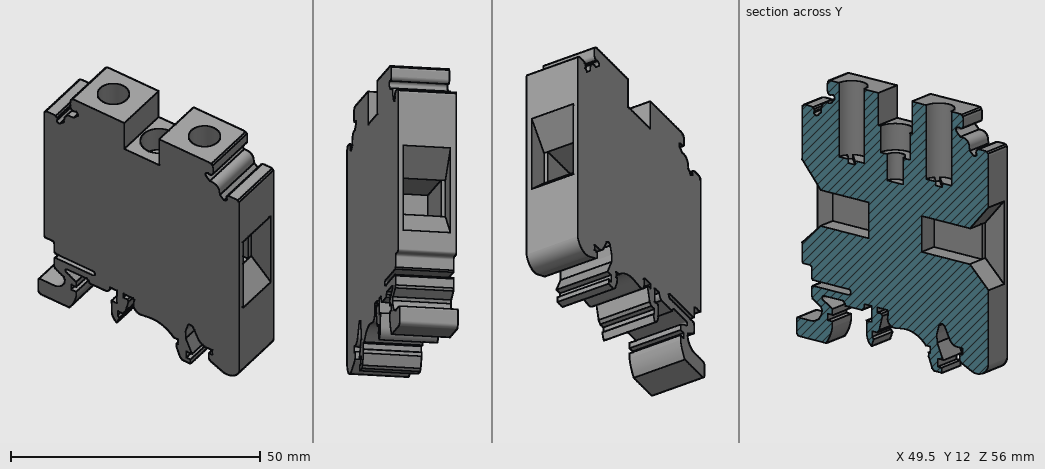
import cadquery as cq
import math


total_height = 56.0
thickness = 12.0
housing_left = 1.45
housing_right = 49.5
housing_bottom = 10.35
mid_x = (housing_left + housing_right) / 2

undercut_x = 3.9
undercut_top = 15.7
undercut_round = 0.5

slot_bottom = 11.55
slot_width = 1.1
slot_end = 14.0
slot_lip_round = 0.35

channel_width = 8.55
channel_floor = 49.1

screw_spacing = 22.4
screw_well_diameter = 6.4
screw_head_top = 40.3
screw_slot_width = 1.1
screw_slot_depth = 0.85
screw_slot_angle = -45
bridge_well_diameter = 7.5
bridge_well_depth = 5.6
bridge_hole_diameter = 4.0
bridge_hole_depth = 11.2

funnel_depth = 4.8
funnel_mouth_bottom = 20.1
funnel_mouth_top = 37.7
funnel_right_y = -4.75
funnel_left_y = 4.9
pocket_bottom = 24.65
pocket_top = 32.15
pocket_width = 7.7
pocket_depth = 12.3

foot_top = 4.05
foot_toe_round = 0.55
foot_base_round = 0.9


def plate(start, steps):
    """Full-thickness plate; a step is an end point, or a pair (through point, end point) for an arc."""
    outline = cq.Workplane("XZ").moveTo(*start)
    for first, second in steps:
        if isinstance(first, tuple):
            outline = outline.threePointArc(first, second)
        else:
            outline = outline.lineTo(first, second)
    return outline.close().extrude(thickness / 2, both=True)


def box(x_range, y_range, z_range):
    """Box spanning the given coordinate ranges."""
    corner = (x_range[0], y_range[0], z_range[0])
    return cq.Workplane("XY").box(
        x_range[1] - x_range[0],
        y_range[1] - y_range[0],
        z_range[1] - z_range[0],
        centered=False,
    ).translate(corner)


def mirrored(shape):
    """Copy of a shape on the other side of the housing's middle."""
    return shape.mirror("YZ", (mid_x, 0, 0))


def well(x, diameter, bottom):
    """Upright round cutter from the given bottom to the top of the part."""
    return (
        cq.Workplane("XY", origin=(x, 0, bottom))
        .circle(diameter / 2)
        .extrude(total_height - bottom)
    )


def shoulder_cutter():
    """Space outside the stepped left shoulder, with faceted corners and two latching grooves."""
    return plate(
        (housing_left, total_height),
        [
            (housing_left, 48.6),
            (1.55, 49.05),
            (1.9, 49.4),
            (2.35, 49.5),
            (3.85, 49.5),
            (4.3, 49.4),
            (4.65, 49.05),
            (4.75, 48.6),
            (4.55, 48.3),
            ((4.9, 47.9), (5.25, 47.75)),
            (6.3, 48.65),
            (6.4, 49.45),
            ((6.9, 50.6), (8.05, 51.1)),
            (8.75, 51.1),
            (9.65, 51.95),
            ((9.8, 52.6), (9.25, 53.0)),
            (8.7, 52.8),
            ((8.2, 53.1), (7.95, 53.6)),
            (7.95, 55.1),
            (8.05, 55.55),
            (8.4, 55.9),
            (8.85, total_height),
        ],
    )


def clamp_foot():
    """Springy foot on the left that hooks under the rail edge."""
    foot = plate(
        (undercut_x, housing_bottom),
        [
            (undercut_x, 9.3),
            (4.15, 8.75),
            (6.3, 7.45),
            (6.55, 6.7),
            ((5.75, 4.9), (4.0, foot_top)),
            (0, foot_top),
            (0, 0),
            (7.7, 0),
            ((8.75, 1.8), (9.35, 3.8)),
            (9.35, 5.05),
            (8.1, 5.05),
            (8.1, 6.3),
            (9.35, 6.3),
            (9.35, 7.7),
            (7.1, 8.95),
            ((6.7, 9.4), (7.3, 9.9)),
            (12.0, 9.9),
            (12.5, 9.4),
            (12.6, 8.95),
            (16.8, 8.95),
            ((17.35, 9.4), (17.6, 9.95)),
            (17.6, housing_bottom),
        ],
    )
    toe = foot.edges(cq.selectors.NearestToPointSelector((0, 0, foot_top))).fillet(foot_toe_round)
    return toe.edges(cq.selectors.NearestToPointSelector((0, 0, 0))).fillet(foot_base_round)


def rail_hook():
    """Narrow barbed hook beside the clamp foot."""
    return plate(
        (19.4, housing_bottom),
        [
            (19.4, 7.05),
            (18.05, 7.05),
            (18.1, 4.2),
            ((18.5, 2.75), (19.4, 1.85)),
            (20.0, 3.5),
            (19.55, 3.9),
            (19.55, 5.05),
            (20.8, 5.05),
            (21.4, 5.7),
            (22.25, 8.9),
            (21.95, 9.35),
            (20.95, 9.35),
            (20.95, housing_bottom),
        ],
    )


def rail_rib():
    """Arched rib in the middle, ending in a latch on its right."""
    return plate(
        (23.3, housing_bottom),
        [
            (23.65, 10.0),
            (23.4, 8.4),
            ((24.1, 7.3), (25.3, 6.95)),
            (26.6, 7.1),
            ((30.25, 6.95), (33.3, 4.9)),
            (34.4, 4.9),
            (34.4, 3.65),
            (34.0, 3.65),
            (34.0, 2.8),
            (34.9, 0.5),
            (35.45, 0),
            (37.45, 0),
            (37.45, 1.2),
            (36.45, 1.2),
            (36.45, 2.8),
            (37.85, 2.8),
            (36.3, 6.2),
            (36.25, 8.0),
            (36.8, 9.95),
            ((37.1, 10.25), (37.5, housing_bottom)),
        ],
    )


def right_foot():
    """Rounded foot under the right end, notched for the rail edge."""
    return plate(
        (37.5, housing_bottom),
        [
            ((37.9, 10.25), (38.2, 9.9)),
            (39.2, 7.9),
            ((39.9, 6.9), (41.1, 6.3)),
            (42.8, 6.3),
            (42.8, 5.1),
            (41.95, 5.1),
            (41.95, 3.6),
            (42.4, 3.2),
            (45.4, 1.85),
            ((48.15, 2.25), (housing_right, 4.2)),
            (housing_right, housing_bottom),
        ],
    )


def undercut_cutter():
    """Corner step at the lower left, rounded where it meets the housing and in its inner corner."""
    arc_inset = undercut_round * (1 - math.sqrt(0.5))
    return plate(
        (housing_left, housing_bottom),
        [
            (housing_left, undercut_top + undercut_round),
            (
                (housing_left + arc_inset, undercut_top + arc_inset),
                (housing_left + undercut_round, undercut_top),
            ),
            (undercut_x - undercut_round, undercut_top),
            (
                (undercut_x - arc_inset, undercut_top - arc_inset),
                (undercut_x, undercut_top - undercut_round),
            ),
            (undercut_x, housing_bottom),
        ],
    )


def spring_slot_cutter():
    """Thin slot with a round inner end that frees the clamp foot's arm."""
    slot_top = slot_bottom + slot_width
    round_start = slot_end - slot_width / 2
    return plate(
        (undercut_x, slot_bottom - slot_lip_round),
        [
            (undercut_x, slot_top + slot_lip_round),
            (undercut_x + slot_lip_round, slot_top),
            (round_start, slot_top),
            ((slot_end, slot_bottom + slot_width / 2), (round_start, slot_bottom)),
            (undercut_x + slot_lip_round, slot_bottom),
        ],
    )


def screw_cutter(x):
    """Screw well with the driver slot in the screw head at its bottom."""
    screw_well = well(x, screw_well_diameter, screw_head_top)
    head = well(x, screw_well_diameter, screw_head_top - screw_slot_depth)
    blade = (
        cq.Workplane("XY", origin=(x, 0, screw_head_top - screw_slot_depth))
        .transformed(rotate=(0, 0, screw_slot_angle))
        .rect(screw_well_diameter, screw_slot_width)
        .extrude(screw_slot_depth)
    )
    return screw_well.union(blade.intersect(head))


def wire_entry_cutter():
    """Funnel with sloping floor and roof, and the narrower pocket behind it."""
    pocket_start = housing_left + funnel_depth
    funnel = (
        cq.Workplane("XZ", origin=(0, funnel_right_y, 0))
        .polyline(
            [
                (housing_left, funnel_mouth_bottom),
                (pocket_start, pocket_bottom),
                (pocket_start, pocket_top),
                (housing_left, funnel_mouth_top),
            ]
        )
        .close()
        .extrude(funnel_right_y - funnel_left_y)
    )
    pocket = box(
        (pocket_start, pocket_start + pocket_depth),
        (-pocket_width / 2, pocket_width / 2),
        (pocket_bottom, pocket_top),
    )
    return funnel.union(pocket)


half_thickness = thickness / 2
part = box(
    (housing_left, housing_right),
    (-half_thickness, half_thickness),
    (housing_bottom, total_height),
)

for hanging_piece in (clamp_foot(), rail_hook(), rail_rib(), right_foot()):
    part = part.union(hanging_piece)

part = part.cut(undercut_cutter()).cut(spring_slot_cutter())

channel = box(
    (mid_x - channel_width / 2, mid_x + channel_width / 2),
    (-half_thickness, half_thickness),
    (channel_floor, total_height),
)
part = part.cut(channel)

for side_cutter in (shoulder_cutter(), wire_entry_cutter()):
    part = part.cut(side_cutter).cut(mirrored(side_cutter))

for screw_x in (mid_x - screw_spacing / 2, mid_x + screw_spacing / 2):
    part = part.cut(screw_cutter(screw_x))

part = part.cut(well(mid_x, bridge_well_diameter, channel_floor - bridge_well_depth))
part = part.cut(well(mid_x, bridge_hole_diameter, channel_floor - bridge_hole_depth))

result = part